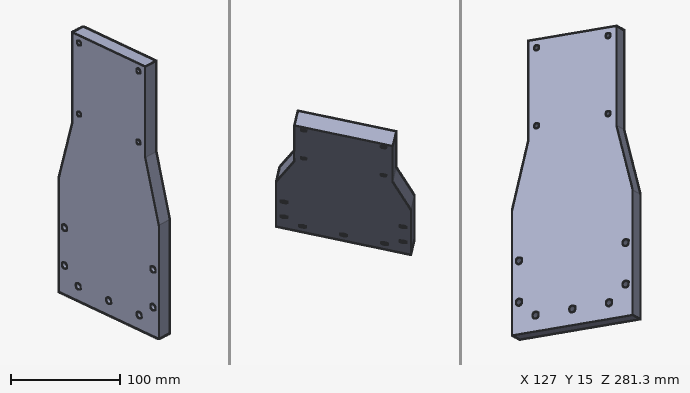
import cadquery as cq

height = 281.3
thickness = 15.0
base_width = 127.0
neck_width = 92.5
taper_start = 120.5
taper_end = 185.5

neck_hole_diameter = 5.0
neck_hole_spacing = 75.0
neck_hole_heights = (198.0, 273.2)

base_hole_diameter = 6.5
side_hole_spacing = 112.0
side_hole_heights = (31.0, 71.0)
bottom_hole_spacing = 77.0
bottom_hole_height = 15.8


def make_plate():
    """Tall plate with a wide base tapering to a narrower neck."""
    half_base = base_width / 2
    half_neck = neck_width / 2
    outline = [
        (-half_base, 0),
        (half_base, 0),
        (half_base, taper_start),
        (half_neck, taper_end),
        (half_neck, height),
        (-half_neck, height),
        (-half_neck, taper_end),
        (-half_base, taper_start),
    ]
    return cq.Workplane("XZ").polyline(outline).close().extrude(thickness)


def mirrored_pairs(spacing, heights):
    """Points to the left and right of the centre line at each height."""
    return [(side * spacing / 2, z) for z in heights for side in (-1, 1)]


def make_pins(points, diameter):
    """Cylinders through the plate thickness, used to cut holes."""
    return cq.Workplane("XZ").pushPoints(points).circle(diameter / 2).extrude(thickness)


neck_points = mirrored_pairs(neck_hole_spacing, neck_hole_heights)
base_points = mirrored_pairs(side_hole_spacing, side_hole_heights)
base_points += mirrored_pairs(bottom_hole_spacing, [bottom_hole_height])
base_points.append((0, bottom_hole_height))

result = (
    make_plate()
    .cut(make_pins(neck_points, neck_hole_diameter))
    .cut(make_pins(base_points, base_hole_diameter))
)